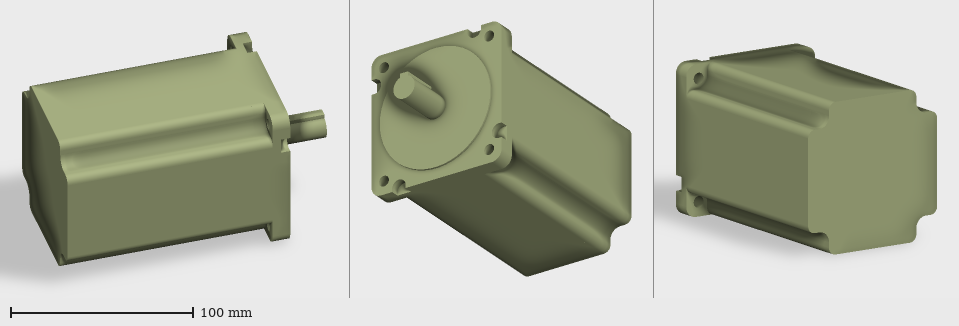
import cadquery as cq
import math


frame_width = 86.0
half_width = frame_width / 2
body_length = 127.6

flute_depth = 13.9
flute_inner_radius = 6.4
flute_lip_radius = 4.3

flange_length = 17.0
flange_plate_thickness = 10.0
flange_corner_radius = 6.4
bolt_spacing = 69.5
bolt_hole_diameter = 6.5

boss_diameter = 73.0
boss_height = 1.5

recess_radius = 4.5
recess_offset = 24.9
recess_depth = 5.3
recess_wall_height = 1.9
recess_count = 4

cover_length = 17.0
stator_length = body_length - flange_length - cover_length

overall_length = 159.5
shaft_tip = overall_length - body_length
shaft_diameter = 14.0
key_width = 5.1
key_length = 25.0
key_top = 9.0


def section_at(y):
    """Workplane across the motor axis: local x is X, local y is Z, extrusion goes toward -Y."""
    return cq.Workplane("XZ", origin=(0, y, 0))


def fluted_block(front, length):
    """Square block from Y = front toward -Y, with a rounded flute along each corner."""
    cross_width = frame_width - 2 * flute_depth
    upright_bar = section_at(front).rect(cross_width, frame_width).extrude(length)
    level_bar = section_at(front).rect(frame_width, cross_width).extrude(length)
    upright_bar = upright_bar.edges("|Y").fillet(flute_lip_radius)
    level_bar = level_bar.edges("|Y").fillet(flute_lip_radius)

    cross = upright_bar.union(level_bar)
    inner_edges = cross.edges("|Y").filter(
        lambda edge: math.isclose(abs(edge.Center().x), abs(edge.Center().z), rel_tol=1e-6)
    )
    return inner_edges.fillet(flute_inner_radius)


def make_flange():
    """Front flange: square plate on a fluted block, with pilot boss, bolt holes and recesses."""
    plate = section_at(0).rect(frame_width, frame_width).extrude(flange_plate_thickness)
    plate = plate.edges("|Y").fillet(flange_corner_radius)
    boss = section_at(0).circle(boss_diameter / 2).extrude(-boss_height)
    bolt_holes = (
        section_at(0)
        .rect(bolt_spacing, bolt_spacing, forConstruction=True)
        .vertices()
        .circle(bolt_hole_diameter / 2)
        .extrude(flange_plate_thickness)
    )
    flange = plate.union(fluted_block(0, flange_length)).cut(bolt_holes)

    recess_center = half_width - recess_wall_height
    recess_end = section_at(0).center(-recess_offset, recess_center).circle(recess_radius).extrude(recess_depth)
    recess_mouth = (
        section_at(0)
        .center(-recess_offset, half_width)
        .rect(2 * recess_radius, 2 * recess_wall_height)
        .extrude(recess_depth)
    )
    recess = recess_end.union(recess_mouth)
    for index in range(recess_count):
        turn = index * 360 / recess_count
        flange = flange.cut(recess.rotate((0, 0, 0), (0, 1, 0), turn))
    return flange.union(boss)


def make_stator():
    """Fluted middle section between the flange and the rear cover."""
    return fluted_block(-flange_length, stator_length)


def make_rear_cover():
    """Fluted end section that closes the back of the motor."""
    return fluted_block(-flange_length - stator_length, cover_length)


def make_shaft():
    """Output shaft standing on the pilot boss, with a key that is square at the tip."""
    shaft = section_at(shaft_tip).circle(shaft_diameter / 2).extrude(shaft_tip - boss_height)
    round_center = shaft_tip - key_length + key_width / 2
    key_bar = (
        cq.Workplane("XY")
        .moveTo(-key_width / 2, shaft_tip)
        .lineTo(-key_width / 2, round_center)
        .threePointArc((0, shaft_tip - key_length), (key_width / 2, round_center))
        .lineTo(key_width / 2, shaft_tip)
        .close()
        .extrude(key_top)
    )
    return shaft.union(key_bar)


flange = make_flange()
stator = make_stator()
rear_cover = make_rear_cover()
shaft = make_shaft()

result = cq.Compound.makeCompound([
    flange.val(),
    stator.val(),
    rear_cover.val(),
    shaft.val(),
])